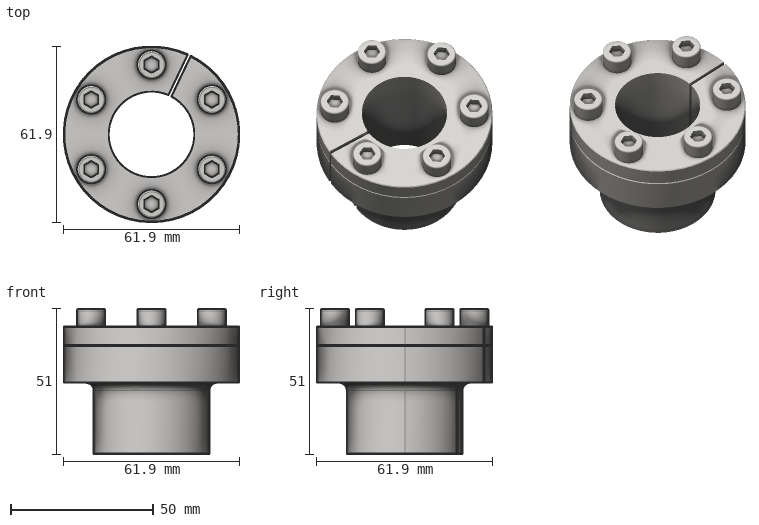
import cadquery as cq
import math

flange_diameter = 61.85
hub_diameter = 40.8
bore_diameter = 30.0
total_height = 51.0
hub_length = 25.0
top_ring_thickness = 6.75
edge_chamfer = 0.3
hub_end_chamfer = 0.2
hub_fillet = 2.55

slit_width = 1.1
slit_angle = 64.5

screw_count = 6
screw_first_angle = 30.0
screw_circle_diameter = 49.0
head_diameter = 10.0
head_height = 6.1
head_rounding = 0.6
hex_across_flats = 5.0
hex_sides = 6
hex_depth = 2.95
thread_diameter = 6.0

flange_radius = flange_diameter / 2
hub_radius = hub_diameter / 2
bore_radius = bore_diameter / 2
flange_top = total_height - head_height
ring_joint = flange_top - top_ring_thickness


def make_body():
    """Bored hub, fillet and flange, with a V-groove where the two flange rings meet."""
    rim = flange_radius - edge_chamfer
    arc_sag = hub_fillet * (1 - math.sqrt(0.5))
    return (
        cq.Workplane("XZ")
        .moveTo(bore_radius, 0)
        .lineTo(hub_radius - hub_end_chamfer, 0)
        .lineTo(hub_radius, hub_end_chamfer)
        .lineTo(hub_radius, hub_length - hub_fillet)
        .threePointArc(
            (hub_radius + arc_sag, hub_length - arc_sag),
            (hub_radius + hub_fillet, hub_length),
        )
        .lineTo(rim, hub_length)
        .lineTo(flange_radius, hub_length + edge_chamfer)
        .lineTo(flange_radius, ring_joint - edge_chamfer)
        .lineTo(rim, ring_joint)
        .lineTo(flange_radius, ring_joint + edge_chamfer)
        .lineTo(flange_radius, flange_top - edge_chamfer)
        .lineTo(rim, flange_top)
        .lineTo(bore_radius, flange_top)
        .close()
        .revolve(360, (0, 0, 0), (0, 1, 0))
    )


def screw_positions(base_height):
    """Workplane at the given height with one point at every screw axis."""
    return cq.Workplane("XY", origin=(0, 0, base_height)).polarArray(
        screw_circle_diameter / 2, screw_first_angle, 360, screw_count, rotate=False
    )


def make_screw_heads():
    """Rounded cylindrical heads with hexagon sockets, two socket flats facing +X and -X."""
    half_side_angle = 180 / hex_sides
    hex_across_corners = hex_across_flats / math.cos(math.radians(half_side_angle))
    head = (
        cq.Workplane("XY")
        .circle(head_diameter / 2)
        .extrude(head_height)
        .faces(">Z")
        .edges()
        .fillet(head_rounding)
    )
    socket = (
        cq.Workplane("XY", origin=(0, 0, head_height - hex_depth))
        .polygon(hex_sides, hex_across_corners)
        .extrude(hex_depth)
        .rotate((0, 0, 0), (0, 0, 1), half_side_angle)
    )
    screw_head = head.cut(socket).val()
    return screw_positions(flange_top).eachpoint(lambda place: screw_head.moved(place))


def make_fillet_notches():
    """Cutters that carry the thread holes down through the hub fillet, below the screw ends."""
    return screw_positions(hub_length - hub_fillet).circle(thread_diameter / 2).extrude(hub_fillet)


def make_slit():
    """Full-height slot from the axis out past the rim."""
    return (
        cq.Workplane("XY")
        .rect(flange_diameter, slit_width)
        .extrude(flange_top)
        .translate((flange_radius, 0, 0))
        .rotate((0, 0, 0), (0, 0, 1), slit_angle)
    )


result = make_body().cut(make_fillet_notches()).cut(make_slit()).union(make_screw_heads())